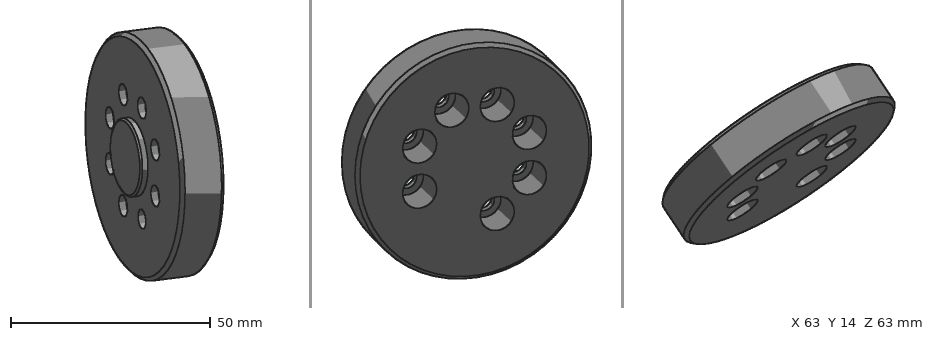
import cadquery as cq
import math

disc_diameter = 63.0
total_depth = 14.0
boss_height = 2.0
disc_thickness = total_depth - boss_height
disc_chamfer = 1.0

boss_diameter = 20.0
boss_chamfer = 0.5

hole_count = 8
hole_circle_radius = 15.8
through_diameter = 5.5
counterbore_diameter = 9.0
counterbore_depth = 9.95
pin_hole_diameter = 5.0
pin_hole_depth = 3.0
pin_hole_index = 6


def hole_center(index):
    """Return the X, Z position of a hole, half a pitch off the X axis."""
    angle = 2 * math.pi * (index + 0.5) / hole_count
    return hole_circle_radius * math.cos(angle), hole_circle_radius * math.sin(angle)


def make_disc():
    """Disc with its front face at Y = 0, extending toward +Y."""
    disc = cq.Workplane("XZ").circle(disc_diameter / 2).extrude(-disc_thickness)
    return disc.edges().chamfer(disc_chamfer)


def make_boss():
    """Round boss standing on the front face of the disc."""
    boss = cq.Workplane("XZ").circle(boss_diameter / 2).extrude(boss_height)
    return boss.faces("<Y").edges().chamfer(boss_chamfer)


def cylinder_cutter(index, diameter, start_y, depth):
    """Cylinder at a hole position, running from start_y toward +Y."""
    x, z = hole_center(index)
    return cq.Workplane("XZ", origin=(x, start_y, z)).circle(diameter / 2).extrude(-depth)


def screw_hole_cutter(index):
    """Through hole with a counterbore in the back face."""
    through = cylinder_cutter(index, through_diameter, 0, disc_thickness)
    counterbore_floor_y = disc_thickness - counterbore_depth
    counterbore = cylinder_cutter(index, counterbore_diameter, counterbore_floor_y, counterbore_depth)
    return through.union(counterbore)


result = make_disc().union(make_boss())
for hole_index in range(hole_count):
    if hole_index == pin_hole_index:
        cutter = cylinder_cutter(hole_index, pin_hole_diameter, 0, pin_hole_depth)
    else:
        cutter = screw_hole_cutter(hole_index)
    result = result.cut(cutter)